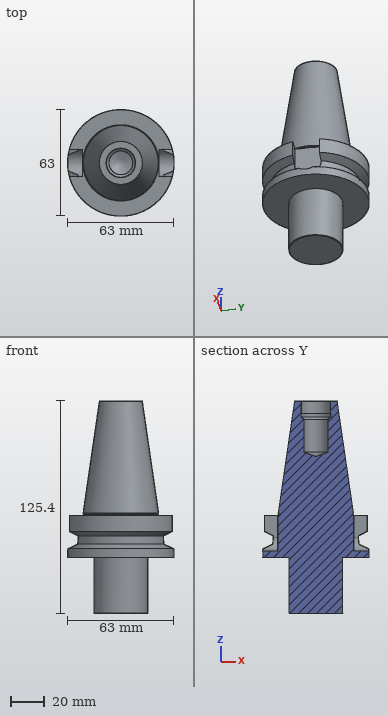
import cadquery as cq
import math


TAPER_RATIO = 7 / 24
GAUGE_DIAMETER = 44.45
TAPER_LENGTH = 65.4
TAPER_TOP_DIAMETER = GAUGE_DIAMETER - TAPER_RATIO * TAPER_LENGTH
TAPER_BOTTOM_Z = -0.5
TAPER_BOTTOM_DIAMETER = GAUGE_DIAMETER - TAPER_RATIO * TAPER_BOTTOM_Z

NECK_DIAMETER = 44.0
NECK_TOP_Z = -0.9
NECK_FILLET = 0.5

FLANGE_DIAMETER = 62.98
FLANGE_TOP_Z = -2.0
FLANGE_THICKNESS = 25.0
FLANGE_BOTTOM_Z = FLANGE_TOP_Z - FLANGE_THICKNESS
GROOVE_DIAMETER = 53.0
GROOVE_CENTRE_Z = -16.6
GROOVE_FLOOR_WIDTH = 4.9
GROOVE_FLANK_ANGLE = 28.0

PILOT_DIAMETER = 32.0
PILOT_BOTTOM_Z = -60.0
PILOT_CHAMFER = 0.4

SLOT_WIDTH = 16.1
SLOT_DEPTH = 21.0
SLOT_FLOOR_X = 22.5

BORE_DIAMETER = 17.01
BORE_DEPTH = 7.4
RELIEF_DIAMETER = 17.41
RELIEF_BOTTOM_DEPTH = 9.2
BEVEL_ANGLE = 90.0
DRILL_DIAMETER = 14.0
DRILL_DEPTH = 30.0
DRILL_TIP_ANGLE = 140.0


def make_body():
    groove_radius = GROOVE_DIAMETER / 2
    flange_radius = FLANGE_DIAMETER / 2
    pilot_radius = PILOT_DIAMETER / 2
    half_floor = GROOVE_FLOOR_WIDTH / 2
    flank_height = (flange_radius - groove_radius) * math.tan(math.radians(GROOVE_FLANK_ANGLE))
    half_mouth = half_floor + flank_height
    neck_radius = NECK_DIAMETER / 2
    lower_profile = [
        (0, PILOT_BOTTOM_Z),
        (pilot_radius - PILOT_CHAMFER, PILOT_BOTTOM_Z),
        (pilot_radius, PILOT_BOTTOM_Z + PILOT_CHAMFER),
        (pilot_radius, FLANGE_BOTTOM_Z),
        (flange_radius, FLANGE_BOTTOM_Z),
        (flange_radius, GROOVE_CENTRE_Z - half_mouth),
        (groove_radius, GROOVE_CENTRE_Z - half_floor),
        (groove_radius, GROOVE_CENTRE_Z + half_floor),
        (flange_radius, GROOVE_CENTRE_Z + half_mouth),
        (flange_radius, FLANGE_TOP_Z),
        (neck_radius + NECK_FILLET, FLANGE_TOP_Z),
    ]
    return (
        cq.Workplane("XZ")
        .polyline(lower_profile)
        .radiusArc((neck_radius, FLANGE_TOP_Z + NECK_FILLET), NECK_FILLET)
        .lineTo(neck_radius, NECK_TOP_Z)
        .lineTo(TAPER_BOTTOM_DIAMETER / 2, TAPER_BOTTOM_Z)
        .lineTo(TAPER_TOP_DIAMETER / 2, TAPER_LENGTH)
        .lineTo(0, TAPER_LENGTH)
        .close()
        .revolve(360, (0, 0, 0), (0, 1, 0))
    )


def make_drive_slot(side):
    """Round-ended slot, open at the flange top and rim; side is +1 or -1 along X."""
    half_width = SLOT_WIDTH / 2
    end_bottom_z = FLANGE_TOP_Z - SLOT_DEPTH
    arc_centre_z = end_bottom_z + half_width
    return (
        cq.Workplane("YZ", origin=(side * SLOT_FLOOR_X, 0, 0))
        .moveTo(-half_width, FLANGE_TOP_Z)
        .lineTo(-half_width, arc_centre_z)
        .threePointArc((0, end_bottom_z), (half_width, arc_centre_z))
        .lineTo(half_width, FLANGE_TOP_Z)
        .close()
        .extrude(side * FLANGE_DIAMETER / 2)
    )


def make_pull_stud_hole():
    """Bore, slightly wider relief, bevel and drilled hole, as one revolved cutter."""
    bore_radius = BORE_DIAMETER / 2
    relief_radius = RELIEF_DIAMETER / 2
    drill_radius = DRILL_DIAMETER / 2
    bevel_height = (relief_radius - drill_radius) / math.tan(math.radians(BEVEL_ANGLE / 2))
    tip_height = drill_radius / math.tan(math.radians(DRILL_TIP_ANGLE / 2))
    relief_top_z = TAPER_LENGTH - BORE_DEPTH
    bevel_top_z = TAPER_LENGTH - RELIEF_BOTTOM_DEPTH
    drill_end_z = TAPER_LENGTH - DRILL_DEPTH
    profile = [
        (0, TAPER_LENGTH),
        (bore_radius, TAPER_LENGTH),
        (bore_radius, relief_top_z),
        (relief_radius, relief_top_z),
        (relief_radius, bevel_top_z),
        (drill_radius, bevel_top_z - bevel_height),
        (drill_radius, drill_end_z),
        (0, drill_end_z - tip_height),
    ]
    return cq.Workplane("XZ").polyline(profile).close().revolve(360, (0, 0, 0), (0, 1, 0))


result = make_body().cut(make_pull_stud_hole())
for slot_side in (-1, 1):
    result = result.cut(make_drive_slot(slot_side))